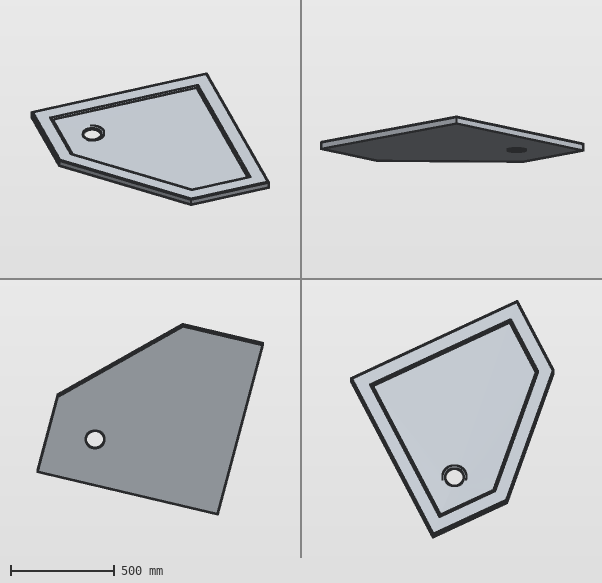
import cadquery as cq
import math

side = 900.0
height = 35.0
short_side = 400.0

edge_chamfer = 4.0
rim_inset = 70.0
rim_level = 32.0
floor_inset = 80.0
floor_level = 25.0

drain_center = 229.5
drain_radius = 58.5
hole_radius = 45.0
drain_level = 14.0
hole_level = 9.0
seam_angles = [233, 270, 360, 397, 495]


def outline(inset, level):
    """Corners of the tray outline moved inward, counter-clockwise from the origin corner."""
    low = inset
    high = side - inset
    cut = short_side - inset * math.tan(math.radians(22.5))
    corners = [(low, low), (cut, low), (high, side - cut), (high, high), (low, high)]
    return [cq.Vector(x, y, level) for x, y in corners]


def polygon_face(points):
    return cq.Face.makeFromWires(cq.Wire.makePolygon(points, close=True))


def band(lower, upper):
    """Flat faces joining two outlines, one per side."""
    count = len(lower)
    faces = []
    for i in range(count):
        j = (i + 1) % count
        faces.append(polygon_face([lower[i], lower[j], upper[j], upper[i]]))
    return faces


def drain_point(angle):
    turn = math.radians(angle)
    x = drain_center + drain_radius * math.cos(turn)
    y = drain_center + drain_radius * math.sin(turn)
    return cq.Vector(x, y, drain_level)


def drain_arcs():
    """Circle around the drain, split where the floor seams meet it."""
    arcs = []
    ends = seam_angles[1:] + [seam_angles[0] + 360]
    for start, end in zip(seam_angles, ends):
        stops = [drain_point(a) for a in (start, (start + end) / 2, end)]
        arcs.append(cq.Edge.makeThreePointArc(*stops))
    return arcs


base = outline(0, 0)
side_top = outline(0, height - edge_chamfer)
rim_outer = outline(edge_chamfer, height)
rim_inner = outline(rim_inset, rim_level)
floor_edge = outline(floor_inset, floor_level)

drain_rim = drain_arcs()

faces = band(base, side_top) + band(side_top, rim_outer) + band(rim_outer, rim_inner)

faces += band(floor_edge, rim_inner)

for i, arc in enumerate(drain_rim):
    j = (i + 1) % len(floor_edge)
    faces.append(cq.Face.makeRuledSurface(cq.Edge.makeLine(floor_edge[i], floor_edge[j]), arc))

faces.append(polygon_face(base))
faces.append(cq.Face.makeFromWires(cq.Wire.assembleEdges(drain_rim)))

tray = cq.Solid.makeSolid(cq.Shell.makeShell(faces)).fix()

down = cq.Vector(0, 0, -1)
seat_top = cq.Vector(drain_center, drain_center, drain_level)
seat = cq.Solid.makeCone(drain_radius, hole_radius, drain_level - hole_level, seat_top, down)
hole = cq.Solid.makeCylinder(hole_radius, drain_level, seat_top, down)

result = cq.Workplane("XY").newObject([tray.cut(seat).cut(hole).Solids()[0]])